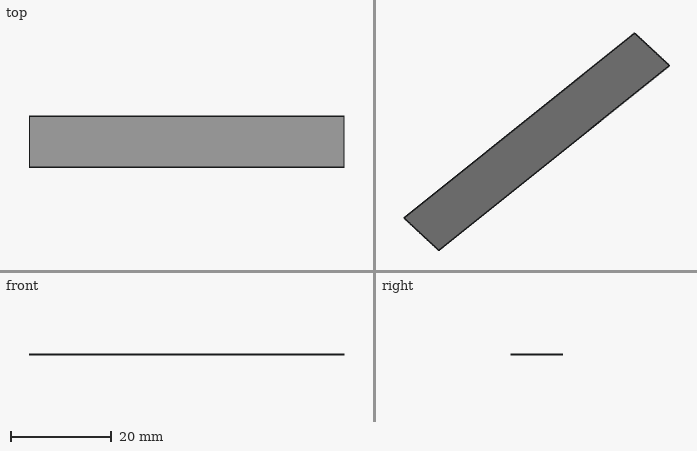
import cadquery as cq

length = 62.55
width = 10.2
thickness = 0.2

result = cq.Workplane("XY").box(length, width, thickness)